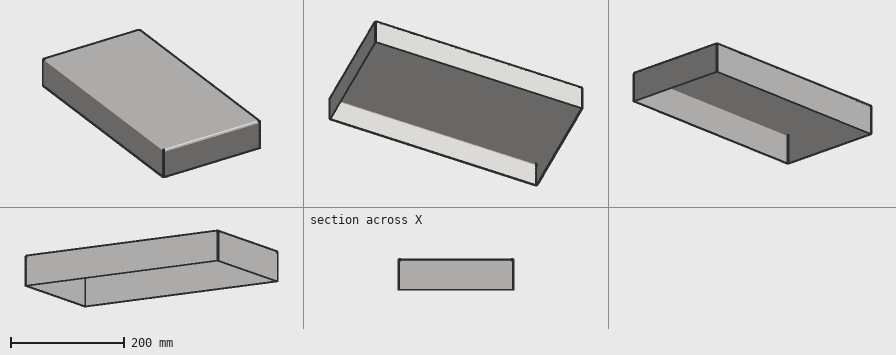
import cadquery as cq
import math

length = 400.0
width = 204.0
height = 55.0
sheet_thickness = 2.0
bend_outer_radius = 2 * sheet_thickness
bend_inner_radius = bend_outer_radius - sheet_thickness
corner_gap = 0.05
wall_end_setback = sheet_thickness + corner_gap
rim_radius = sheet_thickness / 2
bend_start_height = height - bend_outer_radius


def flat_top():
    """Flat sheet between the four bends."""
    return (
        cq.Workplane("XY")
        .workplane(offset=height - sheet_thickness)
        .rect(length - 2 * bend_outer_radius, width - 2 * bend_outer_radius)
        .extrude(sheet_thickness)
    )


def wall(span, side_distance):
    """Wall along X whose outer face lies at Y = -side_distance, with a rounded lower edge."""
    wall_length = span - 2 * wall_end_setback
    block = cq.Workplane("XY").box(
        wall_length, sheet_thickness, bend_start_height, centered=(True, False, False)
    )
    return block.faces("<Z").edges("<Y").fillet(rim_radius).translate((0, -side_distance, 0))


def bend(span, side_distance):
    """Quarter-round bend along X joining the top to a wall, with ends that taper towards the top."""
    axis_y = bend_outer_radius - side_distance
    axis_z = bend_start_height
    tube = (
        cq.Workplane("YZ")
        .center(axis_y, axis_z)
        .circle(bend_outer_radius)
        .circle(bend_inner_radius)
        .extrude(span / 2, both=True)
    )
    outer_quadrant = (
        cq.Workplane("XY")
        .box(span, bend_outer_radius, bend_outer_radius, centered=(True, False, False))
        .translate((0, -side_distance, axis_z))
    )
    chord_plane = cq.Plane(
        origin=(0, axis_y - bend_outer_radius / 2, axis_z + bend_outer_radius / 2),
        xDir=(1, 0, 0),
        normal=(0, -1, 1),
    )
    half_chord = bend_outer_radius / math.sqrt(2)
    half_wall = span / 2 - wall_end_setback
    half_top = span / 2 - bend_outer_radius
    taper = (
        cq.Workplane(chord_plane)
        .polyline([
            (-half_wall, -half_chord),
            (half_wall, -half_chord),
            (half_top, half_chord),
            (-half_top, half_chord),
        ])
        .close()
        .extrude(bend_outer_radius, both=True)
    )
    return tube.intersect(outer_quadrant).intersect(taper)


result = flat_top()
for turn, span, side_distance in (
    (0, length, width / 2),
    (90, width, length / 2),
    (180, length, width / 2),
    (270, width, length / 2),
):
    folded_side = wall(span, side_distance).union(bend(span, side_distance))
    result = result.union(folded_side.rotate((0, 0, 0), (0, 0, 1), turn))